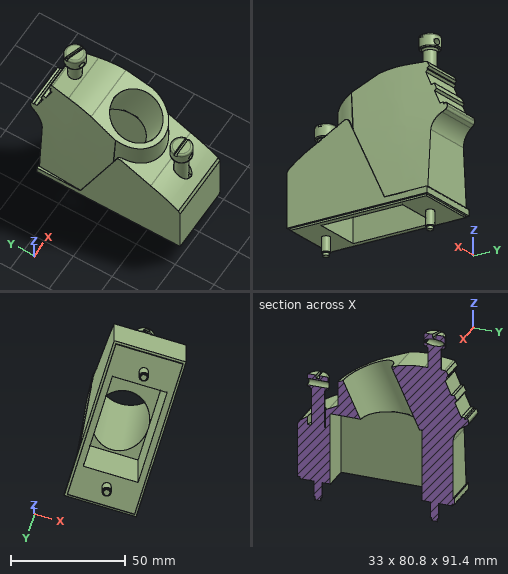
import cadquery as cq
import math

width = 33.0
half_width = width / 2
slope_angle = 25.0
slope = math.tan(math.radians(slope_angle))

plate_inset = 1.1
plate_height = 0.9
base_length = 74.0
base_top = 4.0

block_front_top = 27.1
block_lip = (0.9, 28.6)
block_curve_mid = (6.3, 32.4)
block_curve_end = (15.2, 37.2)
block_peak = (32.0, 45.9)
block_foot = 51.5
block_peak_radius = 1.8

back_wall = 73.5
tip_y = 80.8
top_z = 65.8
collar_front = 19.0
collar_radius = 15.8
collar_y = collar_front + collar_radius
slope_start = (47.2, 64.0)
slope_end = (collar_front, slope_start[1] - (slope_start[0] - collar_front) * slope)

crown_end_y = 60.05
crown_length = crown_end_y - slope_start[0]
crown_drop = top_z - slope_start[1]
crown_radius = (crown_length**2 + crown_drop**2) / (2 * crown_drop)

taper_mid_y = 59.4
low_front_y = 36.6
high_front_y = 33.3
collar_half_width = math.sqrt(collar_radius**2 - (collar_y - high_front_y) ** 2)
low_half_widths = (14.8, 15.9, 17.1)
high_half_widths = (8.3, 12.7, collar_half_width)

bore_radius = 12.5
bore_y = 32.9
bore_z = slope_end[1] + (bore_y - collar_front) * slope
cavity_front = 15.5
cavity_back = 58.5
cavity_top = 34.4

screw_pitch = 54.9
front_screw_y = 9.6
back_screw_y = front_screw_y + screw_pitch
front_screw_top = 52.3
back_screw_top = 82.4
back_screw_turn = -19.0
head_radius = 5.0
head_height = 6.5
head_top_round = 1.0
head_bottom_round = 0.5
neck_radius = 3.8
neck_height = 1.0
shank_radius = 3.2
slot_width = 1.4
slot_depth = 1.55
cross_hole_radius = 1.5
cross_hole_drop = 4.0
pin_radius = 2.0
pin_chamfer_top = -7.2
pin_chamfer = 0.4
tip_radius = 1.5
screw_end = -9.0
shank_end = 18.3
clearance_radius = 3.6
clearance_play = 1.1
clearance_floor = 27.4


def side_extrusion(sketch):
    """Extrude an outline in the YZ plane over the full width."""
    return sketch.close().extrude(half_width, both=True)


def base():
    plate_width = width - 2 * plate_inset
    plate_length = base_length - 2 * plate_inset
    plate = (
        cq.Workplane("XY")
        .box(plate_width, plate_length, plate_height, centered=(True, False, False))
        .translate((0, plate_inset, 0))
    )
    flange = (
        cq.Workplane("XY", origin=(0, 0, plate_height))
        .box(width, base_length, base_top - plate_height, centered=(True, False, False))
    )
    return plate.union(flange)


def front_block():
    block = side_extrusion(
        cq.Workplane("YZ")
        .moveTo(0, plate_height)
        .lineTo(0, block_front_top)
        .lineTo(*block_lip)
        .threePointArc(block_curve_mid, block_curve_end)
        .lineTo(*block_peak)
        .lineTo(block_foot, base_top)
        .lineTo(block_foot, plate_height)
    )
    peak_edge = cq.selectors.NearestToPointSelector((0, *block_peak))
    return block.edges(peak_edge).fillet(block_peak_radius)


def upper_outline():
    """Side outline of the upper body, with the stepped latch ribs on its back."""
    return side_extrusion(
        cq.Workplane("YZ")
        .moveTo(collar_front, plate_height)
        .lineTo(*slope_end)
        .lineTo(*slope_start)
        .radiusArc((crown_end_y, top_z), crown_radius)
        .lineTo(69.4, top_z)
        .lineTo(70.3, 65.5)
        .lineTo(71.3, 63.4)
        .lineTo(70.3, 62.5)
        .lineTo(70.65, 61.8)
        .lineTo(69.7, 60.7)
        .lineTo(72.6, 54.2)
        .lineTo(74.0, 54.6)
        .lineTo(75.2, 51.8)
        .lineTo(74.3, 50.8)
        .lineTo(77.2, 44.3)
        .lineTo(78.8, 44.5)
        .lineTo(79.0, 43.7)
        .lineTo(80.1, 44.15)
        .threePointArc((tip_y, 42.2), (80.2, 40.8))
        .lineTo(78.5, 39.7)
        .threePointArc((74.95, 36.4), (back_wall, 32.1))
        .lineTo(back_wall, plate_height)
    )


def taper_section(sketch, half_widths, front_y):
    """Plan section with bowed sides that narrow towards the back."""
    tip, middle, front = half_widths
    return (
        sketch.moveTo(front, front_y)
        .threePointArc((middle, taper_mid_y), (tip, tip_y))
        .lineTo(-tip, tip_y)
        .threePointArc((-middle, taper_mid_y), (-front, front_y))
        .close()
    )


def upper_body():
    low_section = taper_section(cq.Workplane("XY", origin=(0, 0, base_top)), low_half_widths, low_front_y)
    high_plane = low_section.workplane(offset=top_z - base_top)
    taper = taper_section(high_plane, high_half_widths, high_front_y).loft(ruled=True)
    collar = (
        cq.Workplane("XY", origin=(0, collar_y, base_top))
        .circle(collar_radius)
        .extrude(top_z - base_top)
    )
    collar_side = side_extrusion(
        cq.Workplane("YZ")
        .moveTo(collar_front, base_top)
        .lineTo(low_front_y, base_top)
        .lineTo(high_front_y, top_z)
        .lineTo(collar_front, top_z)
    )
    return taper.union(collar.intersect(collar_side)).intersect(upper_outline())


def cavity():
    return (
        cq.Workplane("XY")
        .box(2 * bore_radius, cavity_back - cavity_front, cavity_top, centered=(True, False, False))
        .translate((0, cavity_front, 0))
    )


def cable_bore():
    tilt = math.radians(slope_angle)
    depth = (bore_z - cavity_top) / math.cos(tilt) + bore_radius * slope
    axis = cq.Vector(0, math.sin(tilt), -math.cos(tilt))
    mouth = cq.Vector(0, bore_y, bore_z) - axis * bore_radius
    return cq.Workplane(cq.Solid.makeCylinder(bore_radius, depth + bore_radius, mouth, axis))


def screw(y, top, turn):
    """Slotted, cross-drilled screw; its slot is turned about the screw axis."""
    head_bottom = top - head_height
    body = (
        cq.Workplane("XZ")
        .moveTo(0, screw_end)
        .lineTo(tip_radius, screw_end)
        .lineTo(tip_radius, pin_chamfer_top - pin_chamfer)
        .lineTo(pin_radius - pin_chamfer, pin_chamfer_top - pin_chamfer)
        .lineTo(pin_radius, pin_chamfer_top)
        .lineTo(pin_radius, shank_end)
        .lineTo(shank_radius, shank_end)
        .lineTo(shank_radius, head_bottom - neck_height)
        .lineTo(neck_radius, head_bottom)
        .lineTo(head_radius - head_bottom_round, head_bottom)
        .lineTo(head_radius, head_bottom + head_bottom_round)
        .lineTo(head_radius, top - head_top_round)
        .radiusArc((head_radius - head_top_round, top), -head_top_round)
        .lineTo(0, top)
        .close()
        .revolve(360, (0, 0), (0, 1))
    )
    slot = cq.Workplane("XY", origin=(0, 0, top)).box(2 * head_radius, slot_width, 2 * slot_depth)
    cross_hole = (
        cq.Workplane("XZ", origin=(0, 0, top - cross_hole_drop))
        .circle(cross_hole_radius)
        .extrude(head_radius, both=True)
    )
    return body.cut(slot).cut(cross_hole).rotate((0, 0, 0), (0, 0, 1), turn).translate((0, y, 0))


def screw_clearance():
    """Slot around the front screw that leaves it free play towards the front."""
    return (
        cq.Workplane("XY", origin=(0, front_screw_y - clearance_play / 2, clearance_floor))
        .slot2D(2 * clearance_radius + clearance_play, 2 * clearance_radius, 90)
        .extrude(block_peak[1] - clearance_floor)
    )


housing = base().union(front_block()).union(upper_body())
housing = housing.cut(cavity()).cut(cable_bore()).cut(screw_clearance())
result = (
    housing
    .union(screw(front_screw_y, front_screw_top, 0))
    .union(screw(back_screw_y, back_screw_top, back_screw_turn))
)